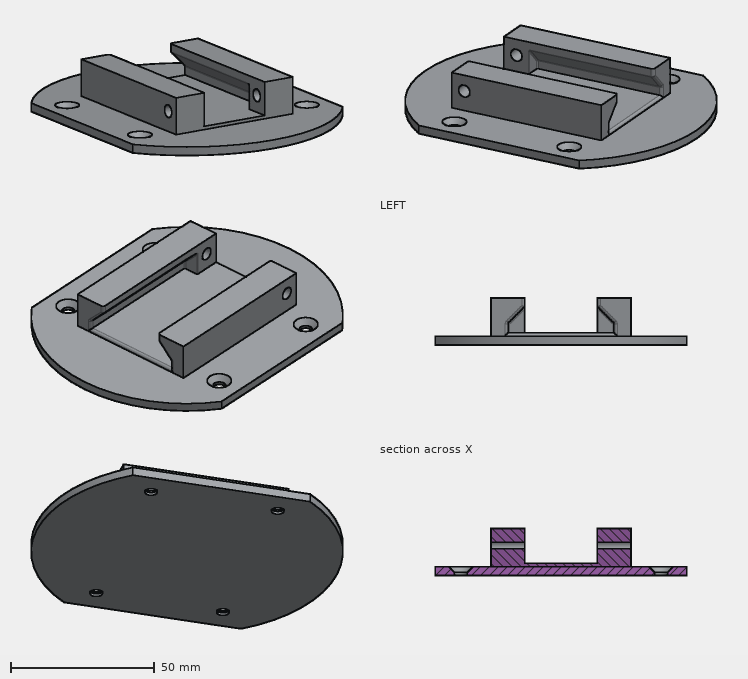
import cadquery as cq

plate_thickness = 3.15
plate_width = 88.0
plate_radius = 54.5

screw_spacing_x = 46.0
screw_spacing_y = 70.0
screw_diameter = 4.4
countersink_diameter = 8.5
countersink_angle = 90.0

holder_length = 60.0
holder_width = 49.0
holder_height = 13.35

floor_thickness = 1.2
channel_width = 37.0
neck_width = 25.3
lip_height = 3.0
end_stop_length = 10.0
mouth_radius = 1.1
corner_radius = 0.5
stop_radius = 0.5
stop_edge_radius = 0.3

pin_hole_diameter = 4.5
pin_hole_height = 10.5

holder_top = plate_thickness + holder_height
floor_level = plate_thickness + floor_thickness
lip_bottom = holder_top - lip_height
overhang = (channel_width - neck_width) / 2
shoulder_level = lip_bottom - overhang
mouth_x = -holder_length / 2
stop_x = holder_length / 2 - end_stop_length
tolerance = 0.1


def make_plate():
    disc = cq.Workplane("XY").circle(plate_radius).extrude(plate_thickness)
    flats = cq.Workplane("XY").rect(2 * plate_radius, plate_width).extrude(plate_thickness)
    return (
        disc.intersect(flats)
        .faces(">Z")
        .workplane(origin=(0, 0, plate_thickness))
        .rarray(screw_spacing_x, screw_spacing_y, 2, 2)
        .cskHole(screw_diameter, countersink_diameter, countersink_angle)
    )


def make_channel():
    """Undercut channel from the mouth to the end stops."""
    half_profile = [
        (0, floor_level),
        (channel_width / 2, floor_level),
        (channel_width / 2, shoulder_level),
        (neck_width / 2, lip_bottom),
        (neck_width / 2, holder_top),
        (0, holder_top),
    ]
    reach = channel_width / 2 + tolerance
    corner_edges = cq.selectors.BoxSelector(
        (mouth_x + tolerance, -reach, shoulder_level - tolerance),
        (stop_x - tolerance, reach, shoulder_level + tolerance),
    )
    return (
        cq.Workplane("YZ", origin=(mouth_x, 0, 0))
        .polyline(half_profile)
        .close()
        .mirrorY()
        .extrude(stop_x - mouth_x)
        .edges(corner_edges)
        .fillet(corner_radius)
    )


def make_neck():
    """Narrow slot between the lips and the end stops, along the whole holder."""
    return (
        cq.Workplane("XY", origin=(0, 0, floor_level))
        .rect(holder_length, neck_width)
        .extrude(holder_top - floor_level)
    )


def round_mouth(holder):
    """Round the channel edges in the open end face."""
    reach = channel_width / 2 + tolerance
    mouth_edges = cq.selectors.BoxSelector(
        (mouth_x - tolerance, -reach, floor_level - tolerance),
        (mouth_x + tolerance, reach, holder_top - tolerance),
    )
    return holder.edges(mouth_edges).fillet(mouth_radius)


def round_end_stops(holder):
    """Round the inner corners and the free edge of each end stop."""
    bottom = floor_level + tolerance
    top = holder_top - tolerance
    for side in (-1, 1):
        inner_edges = cq.selectors.BoxSelector(
            (stop_x - tolerance, side * (neck_width / 2 + tolerance), bottom),
            (stop_x + tolerance, side * (channel_width / 2 + tolerance), top),
        )
        holder = holder.edges(inner_edges).fillet(stop_radius)
        free_edge = cq.selectors.BoxSelector(
            (stop_x - tolerance, side * (neck_width / 2 - tolerance), bottom),
            (stop_x + tolerance, side * (neck_width / 2 + tolerance), top),
        )
        holder = holder.edges(free_edge).fillet(stop_edge_radius)
    return holder


def make_holder():
    block = cq.Workplane("XY").rect(holder_length, holder_width).extrude(holder_top)
    holder = block.cut(make_channel()).cut(make_neck())
    holder = round_end_stops(round_mouth(holder))
    pin_x = stop_x + end_stop_length / 2
    pin_hole = (
        cq.Workplane("XZ", origin=(pin_x, 0, pin_hole_height))
        .circle(pin_hole_diameter / 2)
        .extrude(holder_width / 2, both=True)
    )
    trim = cq.Workplane("XY").rect(holder_length, holder_width).extrude(plate_thickness)
    return holder.cut(pin_hole).cut(trim)


plate = make_plate()
holder = make_holder()

result = cq.Compound.makeCompound([plate.val(), holder.val()])